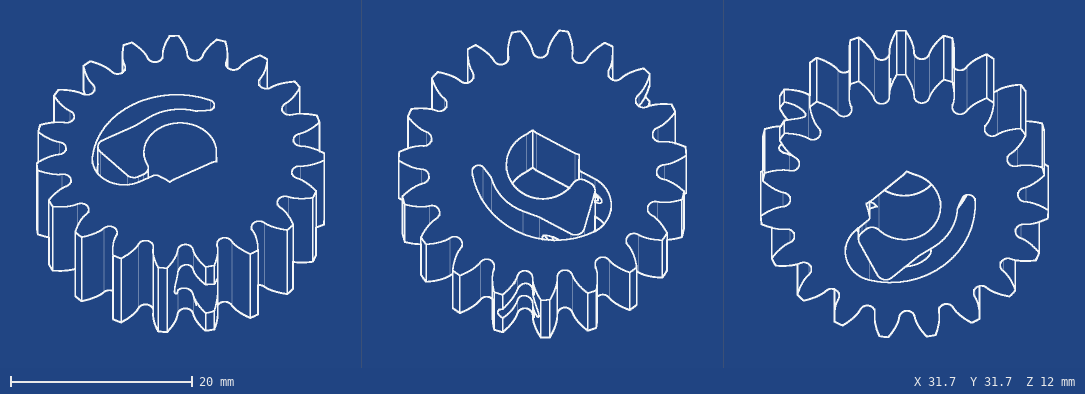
import cadquery as cq
import math


thickness = 12.0
tooth_count = 19
tip_radius = 15.9
root_radius = 12.6
pitch_radius = 14.25
pressure_angle = math.radians(20)
pitch_half_tooth = math.radians(5)
first_tooth_angle = math.radians(2)
flank_points = 6

bore_radius = 4.0
flat_x = 2.92
flat_half_length = 2.45
relief_corner = (3.0, 2.95)
relief_start_angle = math.radians(56)

arm_radius = 5.87
arm_root_angle = math.radians(134)
arm_leave_angle = math.radians(187.5)
pad_left_x = -5.55
pad_top_y = -2.65
pad_right_x = 0.7
pad_bottom_y = -8.0
pad_slope = 0.25
pad_fillet = 1.0

gap_wall_x = 1.35
gap_fillet = 0.5
back_radius = 9.33
back_center = (1.1, -1.05)
heel_radius = 3.52
heel_center_x = gap_wall_x - heel_radius
slot_end_radius = 0.73
slot_end_angle = math.radians(127.7)
slot_end_side_angle = math.radians(-10)
slot_neck = (-3.65, 5.15)

screw_y = -5.17
screw_hole_diameter = 2.2
screw_head_diameter = 4.2
insert_diameter = 3.1
insert_depth = 4.0
head_seat_sink = 0.5
flare_diameter = 5.52


def polar(radius, angle, center=(0, 0)):
    return (center[0] + radius * math.cos(angle), center[1] + radius * math.sin(angle))


def involute(angle):
    return math.tan(angle) - angle


def make_gear():
    base_radius = pitch_radius * math.cos(pressure_angle)
    pitch_angle = 2 * math.pi / tooth_count

    def half_tooth(radius):
        """Half tooth thickness at a radius, as an angle, for involute flanks."""
        return pitch_half_tooth + involute(pressure_angle) - involute(math.acos(base_radius / radius))

    flank_height = tip_radius - base_radius
    radii = [base_radius + flank_height * i / (flank_points - 1) for i in range(flank_points)]
    outline = cq.Workplane("XY").moveTo(*polar(base_radius, first_tooth_angle - half_tooth(base_radius)))
    for tooth in range(tooth_count):
        middle = first_tooth_angle + tooth * pitch_angle
        rising = [polar(r, middle - half_tooth(r)) for r in radii]
        falling = [polar(r, middle + half_tooth(r)) for r in reversed(radii)]
        next_start = polar(base_radius, middle + pitch_angle - half_tooth(base_radius))
        outline = (
            outline.spline(rising[1:], includeCurrent=True)
            .threePointArc(polar(tip_radius, middle), falling[0])
            .spline(falling[1:], includeCurrent=True)
            .threePointArc(polar(root_radius, middle + pitch_angle / 2), next_start)
        )
    return outline.close().extrude(thickness)


def make_bore_and_slot():
    """Through cutter: the D bore, opening through a gap into the slot around the arm."""
    relief_x, relief_y = relief_corner
    pad_tip_angle = -math.acos(pad_right_x / bore_radius)
    gap_angle = -math.acos(gap_wall_x / bore_radius)
    pad_tip = polar(bore_radius, pad_tip_angle)
    gap_corner = polar(bore_radius, gap_angle)
    pad_right_bottom = (pad_right_x, pad_bottom_y + pad_slope * (pad_right_x - pad_left_x))
    pad_left_bottom = (pad_left_x, pad_bottom_y)

    heel_offset_x = heel_center_x - back_center[0]
    heel_angle = -math.acos(heel_offset_x / (back_radius - heel_radius))
    heel_center = polar(back_radius - heel_radius, heel_angle, back_center)
    slot_end_center = polar(back_radius - slot_end_radius, slot_end_angle, back_center)
    back_middle_angle = (slot_end_angle + heel_angle + 2 * math.pi) / 2

    cutter = (
        cq.Workplane("XY")
        .moveTo(flat_x, flat_half_length)
        .lineTo(relief_x, relief_y)
        .lineTo(*polar(bore_radius, relief_start_angle))
        .threePointArc((-bore_radius, 0), pad_tip)
        .lineTo(*pad_right_bottom)
        .lineTo(*pad_left_bottom)
        .lineTo(pad_left_x, pad_top_y)
        .lineTo(*polar(arm_radius, arm_leave_angle))
        .threePointArc(
            polar(arm_radius, (arm_root_angle + arm_leave_angle) / 2),
            polar(arm_radius, arm_root_angle),
        )
        .threePointArc(slot_neck, polar(slot_end_radius, slot_end_side_angle, slot_end_center))
        .threePointArc(
            polar(slot_end_radius, (slot_end_side_angle + slot_end_angle) / 2, slot_end_center),
            polar(back_radius, slot_end_angle, back_center),
        )
        .threePointArc(
            polar(back_radius, back_middle_angle, back_center),
            polar(back_radius, heel_angle, back_center),
        )
        .threePointArc(
            polar(heel_radius, heel_angle / 2, heel_center),
            (gap_wall_x, heel_center[1]),
        )
        .lineTo(*gap_corner)
        .threePointArc(
            polar(bore_radius, (gap_angle - relief_start_angle) / 2),
            polar(bore_radius, -relief_start_angle),
        )
        .lineTo(relief_x, -relief_y)
        .lineTo(flat_x, -flat_half_length)
        .close()
        .extrude(thickness)
    )
    corner_fillets = [
        (pad_tip, pad_fillet),
        (pad_right_bottom, pad_fillet),
        (pad_left_bottom, pad_fillet),
        (gap_corner, gap_fillet),
    ]
    for (x, y), radius in corner_fillets:
        corner_edge = cq.selectors.NearestToPointSelector((x, y, thickness / 2))
        cutter = cutter.edges("|Z").edges(corner_edge).fillet(radius)
    return cutter


def make_screw_hole():
    """Cutter along X: head bore up to the arm, screw hole in the arm, insert hole with flared entry."""
    seat_x = pad_left_x + head_seat_sink
    insert_end_x = gap_wall_x + insert_depth
    profile = [
        (-tip_radius, 0),
        (-tip_radius, screw_head_diameter / 2),
        (seat_x, screw_head_diameter / 2),
        (seat_x, screw_hole_diameter / 2),
        (gap_wall_x, screw_hole_diameter / 2),
        (gap_wall_x, insert_diameter / 2),
        (insert_end_x, insert_diameter / 2),
        (tip_radius, flare_diameter / 2),
        (tip_radius, 0),
    ]
    cutter = cq.Workplane("XY").polyline(profile).close().revolve(360, (0, 0), (1, 0))
    return cutter.translate((0, screw_y, thickness / 2))


result = make_gear().cut(make_bore_and_slot()).cut(make_screw_hole())